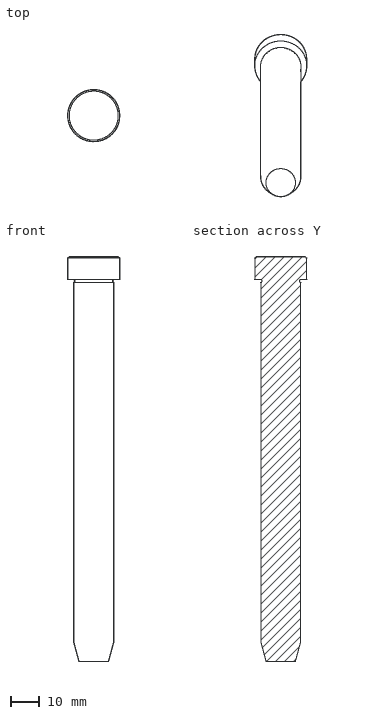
import cadquery as cq

total_length = 140.0
head_diameter = 18.0
head_height = 8.0
head_chamfer = 0.5

shank_diameter = 14.0
groove_depth = 0.4
groove_width = 1.0

tip_diameter = 10.2
tip_length = 7.0

head_radius = head_diameter / 2
shank_radius = shank_diameter / 2
groove_radius = shank_radius - groove_depth
tip_radius = tip_diameter / 2
head_bottom = total_length - head_height
groove_bottom = head_bottom - groove_width
groove_middle = head_bottom - groove_width / 2

half_section = (
    cq.Workplane("XZ")
    .moveTo(0, 0)
    .lineTo(tip_radius, 0)
    .lineTo(shank_radius, tip_length)
    .lineTo(shank_radius, groove_bottom)
    .threePointArc((groove_radius, groove_middle), (shank_radius, head_bottom))
    .lineTo(head_radius, head_bottom)
    .lineTo(head_radius, total_length - head_chamfer)
    .lineTo(head_radius - head_chamfer, total_length)
    .lineTo(0, total_length)
    .close()
)

result = half_section.revolve(360, (0, 0, 0), (0, 1, 0))